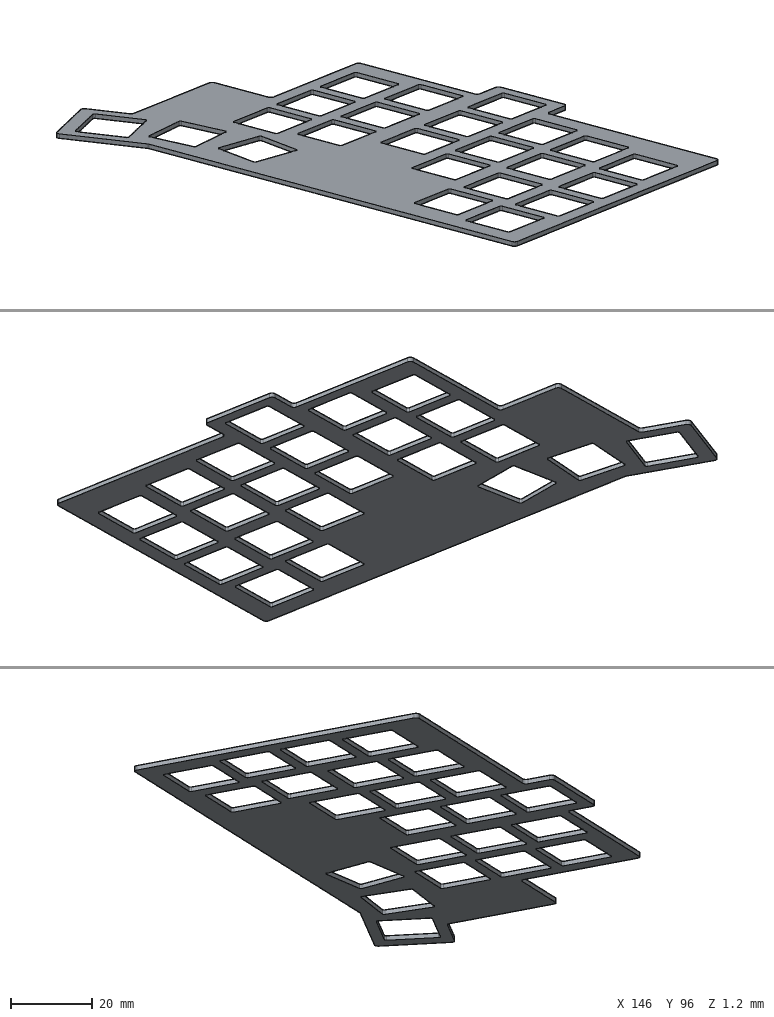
import cadquery as cq
import math

thickness = 1.2
corner_radius = 1.0

window_size = 14.0
window_corner_radius = 0.5
row_pitch = 17.0
column_pitch = 18.0
middle_column_pitch = 20.0

side_margin = 11.0
end_margin = 10.0

index_inner_x = 42.0
index_x = index_inner_x + column_pitch
middle_x = index_x + middle_column_pitch
ring_x = middle_x + column_pitch
little_x = ring_x + column_pitch
outer_x = little_x + column_pitch

index_inner_top = 75.0
index_top = 78.0
middle_top = 86.0
ring_top = 76.0
little_top = 74.0
outer_top = 71.0

straight_rows = ((0.0, 0.0), (0.0, 0.0), (0.0, 0.0))
little_rows = ((0.0, 0.0), (0.0, 0.0), (1.0, -1.0), (-1.0, -1.0))
outer_rows = ((0.0, 0.0), (1.0, 0.0), (1.0, 0.0), (-1.0, 0.0))

columns = (
    (index_inner_x, index_inner_top, straight_rows),
    (index_x, index_top, straight_rows),
    (middle_x, middle_top, straight_rows),
    (ring_x, ring_top, straight_rows),
    (little_x, little_top, little_rows),
    (outer_x, outer_top, outer_rows),
)

end_thumb_x = 13.435
end_thumb_y = 12.84
end_thumb_turn = 20.0
thumb_windows = (
    (end_thumb_x, end_thumb_y, end_thumb_turn),
    (32.0, 20.0, 5.0),
    (52.6, 22.1, -10.0),
)

left_edge = 12.0
shoulder_edge = 54.0
bottom_edge = 8.0
main_left_edge = index_inner_x - side_margin
main_top_edge = 88.0
tab_left_edge = middle_x - side_margin
tab_right_edge = middle_x + side_margin
tab_top_edge = middle_top + end_margin
outermost_shift = max(shift_x for shift_x, shift_y in outer_rows)
right_edge = outer_x + outermost_shift + side_margin


def thumb_point(along, across):
    """Plate position of a point given in the turned axes of the end thumb window."""
    turn = math.radians(end_thumb_turn)
    x = end_thumb_x + along * math.cos(turn) - across * math.sin(turn)
    y = end_thumb_y + along * math.sin(turn) + across * math.cos(turn)
    return (x, y)


def thumb_edge_at_x(across, x):
    """Point at the given X on a long edge of the turned thumb end."""
    turn = math.radians(end_thumb_turn)
    along = (x - end_thumb_x + across * math.sin(turn)) / math.cos(turn)
    return thumb_point(along, across)


def thumb_edge_at_y(across, y):
    """Point at the given Y on a long edge of the turned thumb end."""
    turn = math.radians(end_thumb_turn)
    along = (y - end_thumb_y - across * math.cos(turn)) / math.sin(turn)
    return thumb_point(along, across)


def plate_blank():
    """Stepped plate with a turned end around the last thumb window."""
    outline = [
        thumb_point(-side_margin, -end_margin),
        thumb_edge_at_y(-end_margin, bottom_edge),
        (right_edge, bottom_edge),
        (right_edge, main_top_edge),
        (tab_right_edge, main_top_edge),
        (tab_right_edge, tab_top_edge),
        (tab_left_edge, tab_top_edge),
        (tab_left_edge, main_top_edge),
        (main_left_edge, main_top_edge),
        (main_left_edge, shoulder_edge),
        (left_edge, shoulder_edge),
        thumb_edge_at_x(end_margin, left_edge),
        thumb_point(-side_margin, end_margin),
    ]
    blank = cq.Workplane("XY").polyline(outline).close().extrude(thickness)
    return blank.edges("|Z").fillet(corner_radius)


def window_cutter(x, y, turn=0.0):
    """Square prism with rounded corners that cuts one switch window."""
    cutter = cq.Workplane("XY").rect(window_size, window_size).extrude(thickness)
    cutter = cutter.edges("|Z").fillet(window_corner_radius)
    return cutter.rotate((0, 0, 0), (0, 0, 1), turn).translate((x, y, 0))


def cut_finger_windows(plate):
    for column_x, top_y, shifts in columns:
        for row, (shift_x, shift_y) in enumerate(shifts):
            window_x = column_x + shift_x
            window_y = top_y - row * row_pitch + shift_y
            plate = plate.cut(window_cutter(window_x, window_y))
    return plate


def cut_thumb_windows(plate):
    for x, y, turn in thumb_windows:
        plate = plate.cut(window_cutter(x, y, turn))
    return plate


result = cut_thumb_windows(cut_finger_windows(plate_blank()))